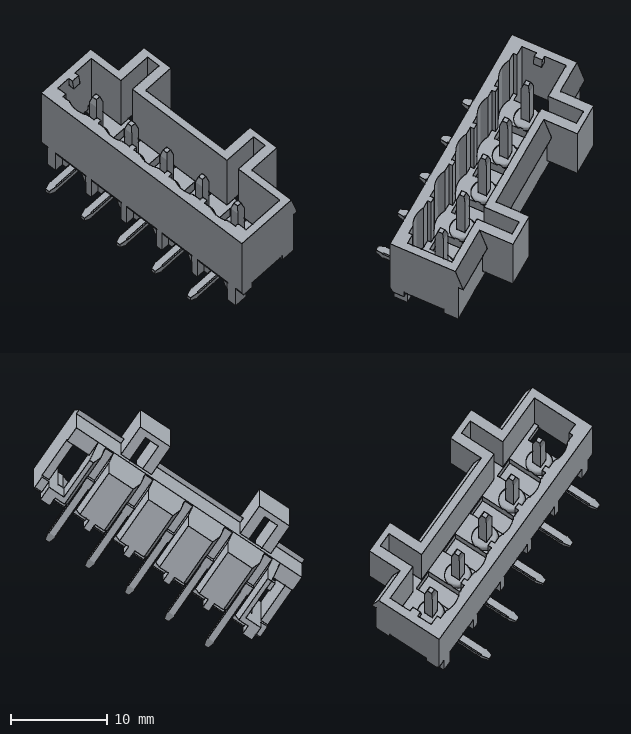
import cadquery as cq


length = 28.4
height = 12.0
end_wall = 0.88
back_y = 7.95
front_bottom_z = 2.53
back_bottom_z = 2.65
floor_z = 4.0
front_bevel_y = 0.28
front_bevel_top_z = 3.18

ledge_z = 9.0
ledge_y = 8.52
back_top_y = 7.6

inner_half_length = length / 2 - end_wall
socket_front_y = 1.62
socket_back_y = 6.75
bay_y = 1.2
bay_width = 4.37
scallop_y = 0.88
scallop_width = 2.5

pin_count = 5
pitch = 5.0
pin_width = 1.0
pin_y = 3.9
pin_top_z = 11.27
tail_reach = 3.6
tip_width = 0.55
tip_length = 0.9
tail_bevel = 0.1
tail_top_z = 2.5
tail_z = tail_top_z - pin_width / 2
pin_xs = [(i - (pin_count - 1) / 2) * pitch for i in range(pin_count)]
gap_xs = [x + pitch / 2 for x in pin_xs[:-1]]

boss_diameter = 2.8
boss_height = 0.5
boss_round = 0.4
recess_width = 2.25
recess_front_y = 1.87
recess_back_y = 6.67
recess_bottom_z = back_bottom_z

block_half_length = 11.45
block_back_y = 6.35
front_plate_y = 1.02
foot_width = 0.8
end_foot_width = 1.2
v_top_z = 1.15
v_width = 1.93

window_back_y = 6.25
notch_top_z = 3.35

tower_xs = [gap_x - pitch / 6 for gap_x in (gap_xs[0], gap_xs[-1])]
tower_width = 3.83
tower_back_y = 11.5
tower_slot_width = 1.62
tower_slot_back_y = 10.85

key_y = 3.78
key_width = 0.97
key_top_reach = 0.5
key_bottom_reach = 0.7
key_height = 1.2


def block(x_range, y_range, z_range):
    """Box given by its (low, high) limits along each axis."""
    sizes = [high - low for low, high in (x_range, y_range, z_range)]
    corner = (x_range[0], y_range[0], z_range[0])
    return cq.Workplane("XY").box(*sizes, centered=False).translate(corner)


def around(middle, width):
    """Limits of a span of the given width about its middle."""
    return (middle - width / 2, middle + width / 2)


def extrude_along_x(yz_points, x_length):
    """Prism with a YZ profile, centred on X = 0."""
    return cq.Workplane("YZ").polyline(yz_points).close().extrude(x_length / 2, both=True)


def make_outer_body():
    profile = [
        (0, front_bevel_top_z),
        (front_bevel_y, front_bottom_z),
        (socket_front_y, front_bottom_z),
        (socket_front_y, back_bottom_z),
        (back_y, back_bottom_z),
        (back_y, ledge_z),
        (ledge_y, ledge_z),
        (back_top_y, height),
        (0, height),
    ]
    return extrude_along_x(profile, length)


def make_base():
    """Block under the floor, the plate in front of it and the row of feet."""
    profile = [
        (front_plate_y, 0),
        (block_back_y, 0),
        (back_y, back_bottom_z),
        (front_plate_y, back_bottom_z),
    ]
    base = extrude_along_x(profile, 2 * block_half_length)
    plate_span = (-inner_half_length, inner_half_length)
    base = base.union(block(plate_span, (front_plate_y, socket_front_y), (0, back_bottom_z)))

    foot_heights = (0, front_bevel_top_z)
    for x in gap_xs:
        base = base.union(block(around(x, foot_width), (0, front_plate_y), foot_heights))
    end_foot_x = inner_half_length - end_foot_width / 2
    for x in (-end_foot_x, end_foot_x):
        base = base.union(block(around(x, end_foot_width), (0, socket_front_y), foot_heights))
    return base


def make_tower(x):
    return block(around(x, tower_width), (socket_back_y, tower_back_y), (floor_z, height))


def make_socket():
    """Open space inside the walls, with a scalloped bay in front of each pin."""
    span = (-inner_half_length, inner_half_length)
    socket = block(span, (socket_front_y, socket_back_y), (floor_z, height))
    for x in pin_xs:
        bay = (
            cq.Workplane("XY", origin=(x, 0, floor_z))
            .moveTo(-bay_width / 2, socket_front_y)
            .lineTo(-bay_width / 2, bay_y)
            .lineTo(-scallop_width / 2, bay_y)
            .threePointArc((0, scallop_y), (scallop_width / 2, bay_y))
            .lineTo(bay_width / 2, bay_y)
            .lineTo(bay_width / 2, socket_front_y)
            .close()
            .extrude(height - floor_z)
        )
        socket = socket.union(bay)
    for x in tower_xs:
        slot_depth = (socket_back_y, tower_slot_back_y)
        socket = socket.union(block(around(x, tower_slot_width), slot_depth, (floor_z, height)))
    return socket


def make_boss(x):
    """Rounded collar on the floor around a pin."""
    return (
        cq.Workplane("XY", origin=(x, pin_y, floor_z))
        .circle(boss_diameter / 2)
        .extrude(boss_height)
        .faces(">Z")
        .edges()
        .fillet(boss_round)
    )


def make_recess(x):
    """Pocket in the floor between two pins."""
    heights = (recess_bottom_z, floor_z + boss_height)
    return block(around(x, recess_width), (recess_front_y, recess_back_y), heights)


def make_pin_passage(x):
    """Slot under the base for the tail, flared at the bottom, and the hole for the upright leg."""
    half_slot = pin_width / 2
    half_v = v_width / 2
    slot_profile = [
        (x - half_v, 0),
        (x - half_slot, v_top_z),
        (x - half_slot, tail_top_z),
        (x + half_slot, tail_top_z),
        (x + half_slot, v_top_z),
        (x + half_v, 0),
    ]
    slot = cq.Workplane("XZ").polyline(slot_profile).close().extrude(-back_y)
    hole_heights = (tail_top_z, floor_z + boss_height)
    return slot.union(block(around(x, pin_width), around(pin_y, pin_width), hole_heights))


def make_window(side):
    """Opening through the floor beside an end wall, with the notch under that wall."""
    window_y = (socket_front_y, window_back_y)
    middle = side * (block_half_length + inner_half_length) / 2
    window = block(around(middle, inner_half_length - block_half_length), window_y, (0, floor_z))
    notch_x = side * (length - end_wall) / 2
    return window.union(block(around(notch_x, end_wall), window_y, (0, notch_top_z)))


def make_key():
    """Small block on the left end wall, level with the rim and wider towards its bottom."""
    profile = [
        (-length / 2, height),
        (-inner_half_length + key_top_reach, height),
        (-inner_half_length + key_bottom_reach, height - key_height),
        (-length / 2, height - key_height),
    ]
    plane = cq.Workplane("XZ", origin=(0, key_y, 0))
    return plane.polyline(profile).close().extrude(key_width / 2, both=True)


def make_housing():
    housing = make_outer_body().union(make_base())
    for x in tower_xs:
        housing = housing.union(make_tower(x))
    housing = housing.cut(make_socket())
    for x in pin_xs:
        housing = housing.union(make_boss(x))
    for x in gap_xs:
        housing = housing.cut(make_recess(x))
    for x in pin_xs:
        housing = housing.cut(make_pin_passage(x))
    for side in (-1, 1):
        housing = housing.cut(make_window(side))
    return housing.union(make_key())


def make_tapered_bar(plane, straight_length):
    """Square bar along the plane's normal, ending in a tapered tip."""
    bar = plane.rect(pin_width, pin_width).extrude(straight_length)
    tip = (
        bar.faces(cq.selectors.DirectionMinMaxSelector(plane.plane.zDir))
        .workplane()
        .rect(pin_width, pin_width)
        .workplane(offset=tip_length)
        .rect(tip_width, tip_width)
        .loft(combine=False)
    )
    return bar, tip


def make_pin(x):
    """Right-angle pin: an upright leg in the socket and a tail out through the front."""
    tail_plane = cq.Workplane("XZ", origin=(x, pin_y - pin_width / 2, tail_z))
    tail_straight = pin_y - pin_width / 2 + tail_reach - tip_length
    tail, tail_tip = make_tapered_bar(tail_plane, tail_straight)
    tail = tail.edges("|Y").chamfer(tail_bevel)

    leg_bottom_z = tail_z - pin_width / 2
    leg_plane = cq.Workplane("XY", origin=(x, pin_y, leg_bottom_z))
    leg, leg_tip = make_tapered_bar(leg_plane, pin_top_z - tip_length - leg_bottom_z)
    return leg.union(leg_tip).union(tail).union(tail_tip)


housing = make_housing()
pins = [make_pin(x) for x in pin_xs]

result = cq.Compound.makeCompound([housing.val(), *[pin.val() for pin in pins]])